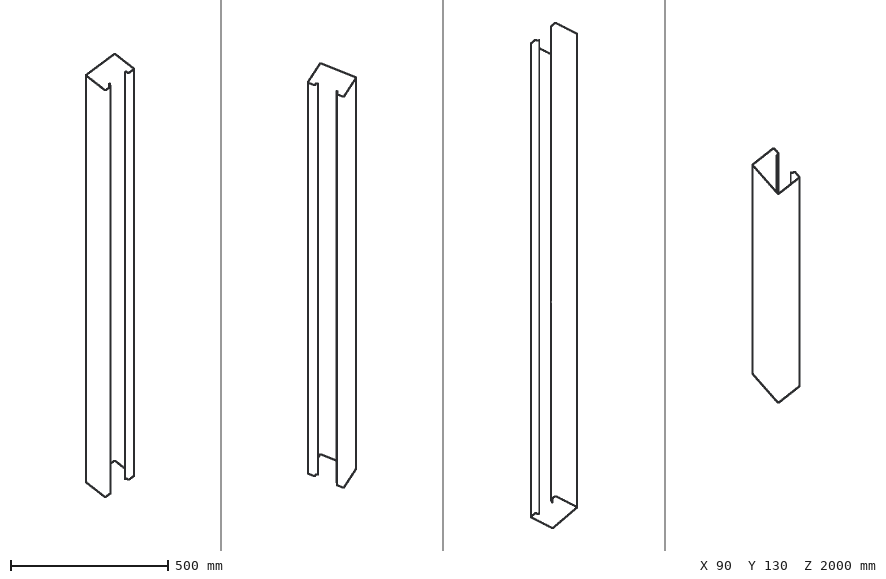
import cadquery as cq

depth = 90.0
width = 130.0
length = 2000.0

sheet = 1.5
inner_bend = 2.0
outer_bend = inner_bend + sheet

lip_opening = 65.0
return_opening = 75.0
return_depth = 12.0

back = -depth / 2
front = depth / 2
side = width / 2
return_face = return_opening / 2
lip_end = lip_opening / 2
lip_back = front - return_depth


def half_profile():
    """Cross-section of the +Y half, from the middle of the web to the lip."""
    outline = [
        (back, 0),
        (back, side),
        (front, side),
        (front, return_face),
        (lip_back + sheet, return_face),
        (lip_back + sheet, lip_end),
        (lip_back, lip_end),
        (lip_back, return_face + sheet),
        (front - sheet, return_face + sheet),
        (front - sheet, side - sheet),
        (back + sheet, side - sheet),
        (back + sheet, 0),
    ]
    return cq.Workplane("XY").polyline(outline).close()


def round_bends(body, corners, radius):
    """Round the lengthwise edges that pass through the given corners."""
    for x, y in corners:
        edge = cq.selectors.NearestToPointSelector((x, y, length / 2))
        body = body.edges("|Z").edges(edge).fillet(radius)
    return body


half_channel = half_profile().extrude(length)

outer_corners = [
    (back, side),
    (front, side),
    (front, return_face),
    (lip_back, return_face + sheet),
]
inner_corners = [
    (back + sheet, side - sheet),
    (front - sheet, side - sheet),
    (front - sheet, return_face + sheet),
    (lip_back + sheet, return_face),
]
half_channel = round_bends(half_channel, outer_corners, outer_bend)
half_channel = round_bends(half_channel, inner_corners, inner_bend)

result = half_channel.union(half_channel.mirror("XZ")).clean()